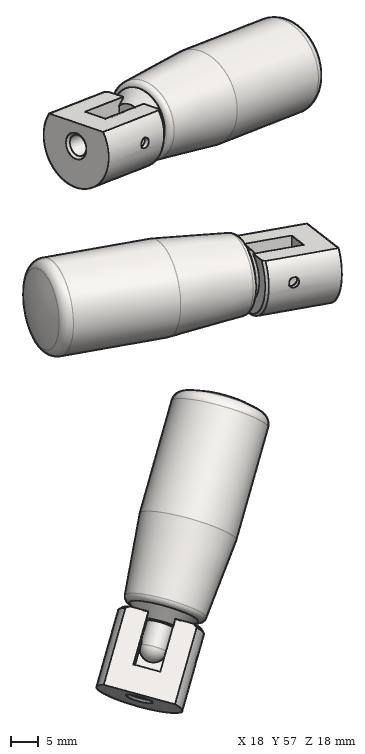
import cadquery as cq
import math


clevis_radius = 8.0
clevis_length = 15.0
clevis_chamfer = 0.5
flat_height = 4.5
slot_end_y = 5.0
bore_diameter = 4.0
bore_chamfer = 0.5

grip_radius = 9.0
overall_length = 57.0
end_dome_radius = 25.0
end_fillet = 2.2
taper_start_y = 32.5
neck_face_y = 16.4
neck_radius = 7.5
neck_fillet = 1.2

neck_taper_angle = math.atan((grip_radius - neck_radius) / (taper_start_y - neck_face_y))
cone_base_radius = neck_radius - neck_fillet * math.tan((math.pi / 2 - neck_taper_angle) / 2)
seat_depth = 1.0
cone_tip_y = clevis_length - seat_depth
cone_tip_radius = cone_base_radius - (neck_face_y - cone_tip_y)
cone_mouth_radius = cone_tip_radius + seat_depth

stem_radius = 2.5
slot_width = 2 * stem_radius
slot_floor_z = -stem_radius
pin_y = 9.5
pin_diameter = 2.0
pin_recess = 1.0
pin_length = 2 * (clevis_radius - pin_recess)


def cylinder_along_x(diameter, length):
    """Cylinder on the hinge axis, centred on x = 0."""
    return (
        cq.Workplane("YZ", origin=(-length / 2, 0, 0))
        .center(pin_y, 0)
        .circle(diameter / 2)
        .extrude(length)
    )


def revolve_about_y(profile):
    """Full turn of an XY profile about the Y axis."""
    return profile.close().revolve(360, (0, 0, 0), (0, 1, 0))


def make_grip():
    """Domed cylinder that tapers down to the neck, its dome blended into the side."""
    dome_centre_y = overall_length - end_dome_radius
    fillet_centre_x = grip_radius - end_fillet
    blend_angle = math.asin(fillet_centre_x / (end_dome_radius - end_fillet))
    shoulder_y = dome_centre_y + (end_dome_radius - end_fillet) * math.cos(blend_angle)

    def dome_point(angle):
        """Point of the end dome at this angle from the Y axis."""
        return (
            end_dome_radius * math.sin(angle),
            dome_centre_y + end_dome_radius * math.cos(angle),
        )

    fillet_middle_angle = (blend_angle + math.pi / 2) / 2
    fillet_middle = (
        fillet_centre_x + end_fillet * math.sin(fillet_middle_angle),
        shoulder_y + end_fillet * math.cos(fillet_middle_angle),
    )
    grip = revolve_about_y(
        cq.Workplane("XY")
        .moveTo(0, neck_face_y)
        .lineTo(neck_radius, neck_face_y)
        .lineTo(grip_radius, taper_start_y)
        .lineTo(grip_radius, shoulder_y)
        .threePointArc(fillet_middle, dome_point(blend_angle))
        .threePointArc(dome_point(blend_angle / 2), (0, overall_length))
    )
    return grip.faces("<Y").edges().fillet(neck_fillet)


def make_stem():
    """Seating cone and round stem that ends in a hemisphere at the hinge."""
    bevel = stem_radius * math.sqrt(0.5)
    return revolve_about_y(
        cq.Workplane("XY")
        .moveTo(0, pin_y - stem_radius)
        .threePointArc((bevel, pin_y - bevel), (stem_radius, pin_y))
        .lineTo(stem_radius, cone_tip_y)
        .lineTo(cone_tip_radius, cone_tip_y)
        .lineTo(cone_base_radius, neck_face_y)
        .lineTo(0, neck_face_y)
    )


def make_handle():
    """Grip, stem and hinge pin in one piece."""
    pin = cylinder_along_x(pin_diameter, pin_length)
    return make_grip().union(make_stem()).union(pin)


def make_clevis():
    """Flat-topped cylinder with slot, cone seat, hinge hole and axial bore."""
    clevis = cq.Workplane("XZ").circle(clevis_radius).extrude(-clevis_length)
    clevis = clevis.faces(">Y").edges().chamfer(clevis_chamfer)

    above_flat = (
        cq.Workplane("XY", origin=(0, 0, flat_height))
        .rect(2 * clevis_radius, 2 * clevis_length)
        .extrude(clevis_radius)
    )
    slot_length = clevis_length - slot_end_y
    slot = (
        cq.Workplane("XY", origin=(0, slot_end_y + slot_length / 2, slot_floor_z))
        .rect(slot_width, slot_length)
        .extrude(clevis_radius - slot_floor_z)
    )
    seat = revolve_about_y(
        cq.Workplane("XY")
        .moveTo(0, cone_tip_y)
        .lineTo(cone_tip_radius, cone_tip_y)
        .lineTo(cone_mouth_radius, clevis_length)
        .lineTo(0, clevis_length)
    )
    bore_radius = bore_diameter / 2
    bore = revolve_about_y(
        cq.Workplane("XY")
        .lineTo(bore_radius + bore_chamfer, 0)
        .lineTo(bore_radius, bore_chamfer)
        .lineTo(bore_radius, slot_end_y)
        .lineTo(0, slot_end_y)
    )
    hinge_hole = cylinder_along_x(pin_diameter, 2 * clevis_radius)
    return clevis.cut(above_flat).cut(slot).cut(seat).cut(bore).cut(hinge_hole)


handle = make_handle()
clevis = make_clevis()

result = cq.Compound.makeCompound([handle.val(), clevis.val()])